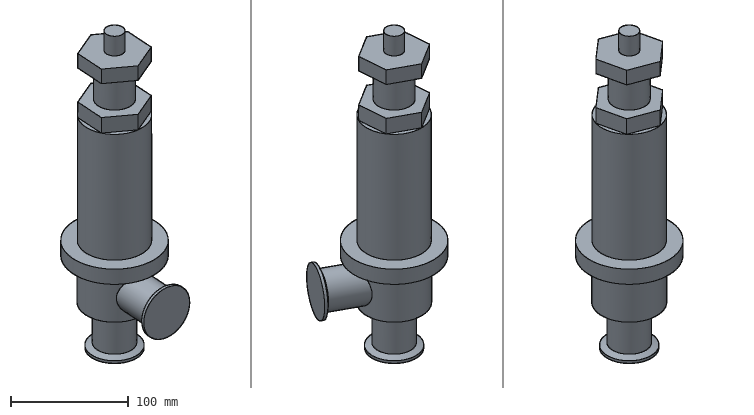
import cadquery as cq

BODY_BOTTOM = 46.0
COLLAR_BOTTOM = 93.0
COLLAR_TOP = 108.5
BONNET_TOP = 235.5
LOWER_NUT_TOP = 251.2
UPPER_NUT_BOTTOM = 285.5
UPPER_NUT_TOP = 300.0
TOTAL_HEIGHT = 320.0

BODY_DIAMETER = 64.0
COLLAR_DIAMETER = 91.5
BONNET_DIAMETER = 63.5
SLEEVE_DIAMETER = 36.0
STEM_DIAMETER = 18.0
NUT_CORNER_DIAMETER = BONNET_DIAMETER

PIPE_DIAMETER = 38.0
FERRULE_DIAMETER = 50.5
FERRULE_RIM = 3.0
FERRULE_HEIGHT = 5.5

SIDE_PORT_HEIGHT = 70.0
SIDE_PORT_END = 116.0 - COLLAR_DIAMETER / 2


def cylinder(diameter, bottom, top):
    return cq.Workplane("XY").workplane(offset=bottom).circle(diameter / 2).extrude(top - bottom)


def hex_nut(bottom, top):
    """Hexagonal prism with two corners on the X axis."""
    return cq.Workplane("XY").workplane(offset=bottom).polygon(6, NUT_CORNER_DIAMETER).extrude(top - bottom)


def port(length):
    """Pipe rising from a ferrule whose outer face lies at the origin."""
    return (
        cq.Workplane("XZ")
        .moveTo(0, 0)
        .lineTo(FERRULE_DIAMETER / 2, 0)
        .lineTo(FERRULE_DIAMETER / 2, FERRULE_RIM)
        .lineTo(PIPE_DIAMETER / 2, FERRULE_HEIGHT)
        .lineTo(PIPE_DIAMETER / 2, length)
        .lineTo(0, length)
        .close()
        .revolve(360, (0, 0, 0), (0, 1, 0))
    )


bottom_port = port(BODY_BOTTOM)
side_port = (
    port(SIDE_PORT_END)
    .rotate((0, 0, 0), (0, 1, 0), -90)
    .translate((SIDE_PORT_END, 0, SIDE_PORT_HEIGHT))
)

body = cylinder(BODY_DIAMETER, BODY_BOTTOM, COLLAR_BOTTOM)
collar = cylinder(COLLAR_DIAMETER, COLLAR_BOTTOM, COLLAR_TOP)
bonnet = cylinder(BONNET_DIAMETER, COLLAR_TOP, BONNET_TOP)

lower_nut = hex_nut(BONNET_TOP, LOWER_NUT_TOP)
sleeve = cylinder(SLEEVE_DIAMETER, LOWER_NUT_TOP, UPPER_NUT_BOTTOM)
upper_nut = hex_nut(UPPER_NUT_BOTTOM, UPPER_NUT_TOP)
stem = cylinder(STEM_DIAMETER, UPPER_NUT_TOP, TOTAL_HEIGHT)

result = bottom_port
for section in (body, side_port, collar, bonnet, lower_nut, sleeve, upper_nut, stem):
    result = result.union(section)